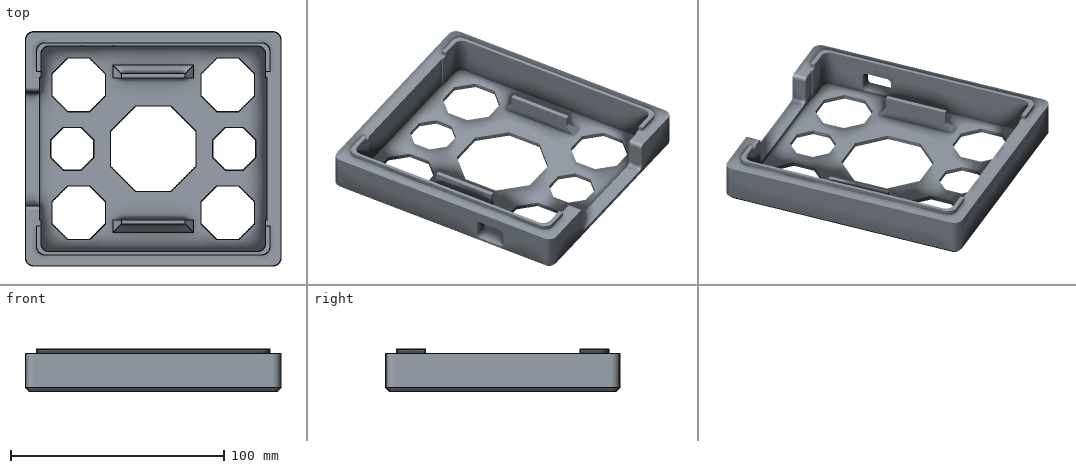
import cadquery as cq

LENGTH = 120.0
WIDTH = 110.0
BODY_HEIGHT = 18.0
CORNER_RADIUS = 4.0
BOTTOM_CHAMFER = 2.0
FLOOR = 2.0

SIDE_WALL = 6.75
END_WALL = 7.25
END_RELIEF = 0.5
RELIEF_LENGTH = 67.0

LIP_HEIGHT = 2.0
LIP_INSET = 5.25
LIP_GAP = 72.5

OPENING_WIDTH = 53.5
OPENING_BOTTOM = 4.0
OPENING_RADIUS = 2.0

SLOT_LENGTH = 14.5
SLOT_HEIGHT = 9.5
SLOT_RADIUS = 2.0
SLOT_X = -26.25
SLOT_BOTTOM = 3.25

OCTAGON_SIDES = 8
CENTER_OPENING = 40.0
CORNER_OPENING = 25.0
CORNER_OPENING_X = 35.0
CORNER_OPENING_Y = 30.0
END_OPENING = 20.0
END_OPENING_X = 38.0

RIB_LENGTH = 30.0
RIB_THICKNESS = 2.0
RIB_INNER_Y = 33.3
TALL_RIB_HEIGHT = 11.0
SHORT_RIB_HEIGHT = 9.0
FOOT = 4.0

CAVITY_LENGTH = LENGTH - 2 * END_WALL
CAVITY_WIDTH = WIDTH - 2 * SIDE_WALL
CAVITY_DEPTH = BODY_HEIGHT + LIP_HEIGHT - FLOOR


def block(length, width, height, bottom):
    """Box centered on the Z axis, standing on the given height."""
    base = cq.Workplane("XY", origin=(0, 0, bottom))
    return base.box(length, width, height, centered=(True, True, False))


def rounded_block(length, width, height, bottom):
    """Block with its four vertical edges rounded."""
    return block(length, width, height, bottom).edges("|Z").fillet(CORNER_RADIUS)


def make_shell():
    body = rounded_block(LENGTH, WIDTH, BODY_HEIGHT, 0).faces("<Z").chamfer(BOTTOM_CHAMFER)
    lip = rounded_block(LENGTH - 2 * LIP_INSET, WIDTH - 2 * LIP_INSET, LIP_HEIGHT, BODY_HEIGHT)
    lip = lip.cut(block(LENGTH, LIP_GAP, LIP_HEIGHT, BODY_HEIGHT))
    cavity = rounded_block(CAVITY_LENGTH, CAVITY_WIDTH, CAVITY_DEPTH, FLOOR)
    relief = block(CAVITY_LENGTH + 2 * END_RELIEF, RELIEF_LENGTH, CAVITY_DEPTH, FLOOR)
    return body.union(lip).cut(cavity).cut(relief)


def make_end_opening():
    """U-shaped cutter with rounded bottom corners and a rounded flare at the rim."""
    half = OPENING_WIDTH / 2
    r = OPENING_RADIUS
    return (
        cq.Workplane("YZ", origin=(-LENGTH / 2, 0, 0))
        .moveTo(-half - r, BODY_HEIGHT)
        .radiusArc((-half, BODY_HEIGHT - r), r)
        .lineTo(-half, OPENING_BOTTOM + r)
        .radiusArc((-half + r, OPENING_BOTTOM), -r)
        .lineTo(half - r, OPENING_BOTTOM)
        .radiusArc((half, OPENING_BOTTOM + r), -r)
        .lineTo(half, BODY_HEIGHT - r)
        .radiusArc((half + r, BODY_HEIGHT), r)
        .close()
        .extrude(END_WALL)
    )


def make_side_slot():
    center_z = SLOT_BOTTOM + SLOT_HEIGHT / 2
    return (
        cq.Workplane("XY")
        .box(SLOT_LENGTH, SIDE_WALL, SLOT_HEIGHT)
        .edges("|Y")
        .fillet(SLOT_RADIUS)
        .translate((SLOT_X, (WIDTH - SIDE_WALL) / 2, center_z))
    )


def make_octagons(across_flats, centers):
    octagon = cq.Workplane("XY").polygon(OCTAGON_SIDES, across_flats, circumscribed=True).extrude(FLOOR)
    cutters = cq.Workplane("XY")
    for x, y in centers:
        cutters = cutters.add(octagon.translate((x, y, 0)))
    return cutters.combine()


def make_rib(height):
    """Rib on the +Y side; its foot tapers at 45 degrees into the rib, flush with its inner face."""
    middle_y = RIB_INNER_Y + RIB_THICKNESS / 2
    rib = block(RIB_LENGTH, RIB_THICKNESS, height, FLOOR).translate((0, middle_y, 0))
    foot = (
        cq.Workplane("XY", origin=(0, RIB_INNER_Y, FLOOR))
        .rect(RIB_LENGTH + 2 * FOOT, 2 * (RIB_THICKNESS + FOOT))
        .workplane(offset=FOOT)
        .rect(RIB_LENGTH, 2 * RIB_THICKNESS)
        .loft(ruled=True)
    )
    inner_width = RIB_THICKNESS + FOOT
    inner_half = block(RIB_LENGTH + 2 * FOOT, inner_width, FOOT, FLOOR)
    inner_half = inner_half.translate((0, RIB_INNER_Y - inner_width / 2, 0))
    return rib.union(foot.cut(inner_half))


corner_centers = [
    (x, y)
    for x in (-CORNER_OPENING_X, CORNER_OPENING_X)
    for y in (-CORNER_OPENING_Y, CORNER_OPENING_Y)
]
end_centers = [(-END_OPENING_X, 0), (END_OPENING_X, 0)]

result = make_shell().cut(make_end_opening()).cut(make_side_slot())
result = result.cut(make_octagons(CENTER_OPENING, [(0, 0)]))
result = result.cut(make_octagons(CORNER_OPENING, corner_centers))
result = result.cut(make_octagons(END_OPENING, end_centers))

result = result.union(make_rib(TALL_RIB_HEIGHT))
result = result.union(make_rib(SHORT_RIB_HEIGHT).mirror("XZ"))